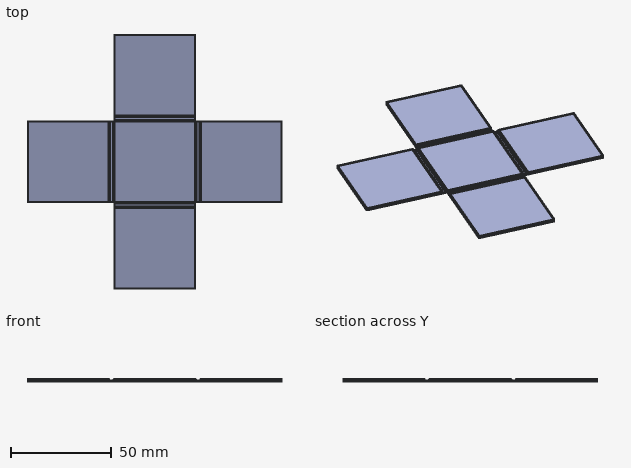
import cadquery as cq

overall_length = 126.0
thickness = 1.1
groove_width = 3.0
web_thickness = 0.3
floor_width = 1.5

panel_size = (overall_length - 2 * groove_width) / 3
hinge_offset = (panel_size + groove_width) / 2


def strip():
    """One straight row of three panels along X with its two hinge grooves."""
    bar = cq.Workplane("XY").box(overall_length, panel_size, thickness, centered=(True, True, False))
    for hinge_x in (-hinge_offset, hinge_offset):
        groove = (
            cq.Workplane("XZ")
            .moveTo(hinge_x - groove_width / 2, thickness)
            .lineTo(hinge_x - floor_width / 2, web_thickness)
            .lineTo(hinge_x + floor_width / 2, web_thickness)
            .lineTo(hinge_x + groove_width / 2, thickness)
            .close()
            .extrude(panel_size / 2, both=True)
        )
        bar = bar.cut(groove)
    return bar


row_along_x = strip()
row_along_y = strip().rotate((0, 0, 0), (0, 0, 1), 90)
result = row_along_x.union(row_along_y)